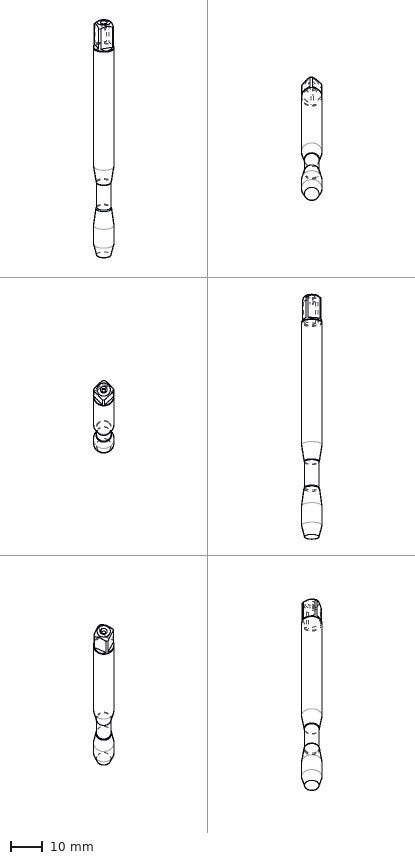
import cadquery as cq

total_length = 80.0
shank_radius = 6.5 / 2
neck_radius = 4.6 / 2

tip_radius = neck_radius
lead_height = 3.8
thread_top = 10.2
runout_top = 16.0
runout_radius = 2.5
step_cone_height = 0.4
cutter_top = runout_top + step_cone_height

neck_top = 24.9
neck_step_height = 0.2
neck_step_radius = 2.4
shank_bottom = 30.6

square_width = 5.0
square_bottom = 72.2
shoulder_height = 71.2
shoulder_chamfer_height = 0.2
shoulder_chamfer_width = 0.1
drive_radius = shank_radius - shoulder_chamfer_width
top_face_radius = 2.1
top_chamfer_height = 1.0

hole_radius = 1.2 / 2
hole_depth = 2.4
countersink_radius = 2.2 / 2
countersink_depth = 0.8
drill_tip_depth = 0.3


def revolve_profile(points):
    """Turn a closed outline of (radius, height) points around the Z axis."""
    return cq.Workplane("XZ").polyline(points).close().revolve(360, (0, 0), (0, 1))


def make_cutter():
    """Lead taper, cylindrical cutting section and run-out cone up to the neck."""
    return revolve_profile([
        (0, 0),
        (tip_radius, 0),
        (shank_radius, lead_height),
        (shank_radius, thread_top),
        (runout_radius, runout_top),
        (neck_radius, cutter_top),
        (0, cutter_top),
    ])


def make_turned_shank():
    """Neck, widening cone, shank and the round blank of the square drive."""
    return revolve_profile([
        (0, cutter_top),
        (neck_radius, cutter_top),
        (neck_radius, neck_top),
        (neck_step_radius, neck_top + neck_step_height),
        (shank_radius, shank_bottom),
        (shank_radius, shoulder_height),
        (drive_radius, shoulder_height + shoulder_chamfer_height),
        (drive_radius, total_length - top_chamfer_height),
        (top_face_radius, total_length),
        (0, total_length),
    ])


def make_flat_cutter():
    """Material removed on the +X side: a flat with a 45 degree sloping run-out."""
    half_width = square_width / 2
    outer = 2 * shank_radius
    return (
        cq.Workplane("XZ")
        .polyline([
            (half_width, total_length),
            (half_width, square_bottom),
            (outer, square_bottom - (outer - half_width)),
            (outer, total_length),
        ])
        .close()
        .extrude(shank_radius, both=True)
    )


def make_centre_hole():
    """Countersunk blind hole with a conical bottom."""
    return revolve_profile([
        (0, total_length),
        (countersink_radius, total_length),
        (hole_radius, total_length - countersink_depth),
        (hole_radius, total_length - hole_depth),
        (0, total_length - hole_depth - drill_tip_depth),
    ])


def make_shank():
    """Shank with the four flats of the square drive and the centre hole."""
    body = make_turned_shank()
    flat_cutter = make_flat_cutter()
    for angle in (0, 90, 180, 270):
        body = body.cut(flat_cutter.rotate((0, 0, 0), (0, 0, 1), angle))
    return body.cut(make_centre_hole())


cutter = make_cutter()
shank = make_shank()

result = cq.Compound.makeCompound([cutter.val(), shank.val()])